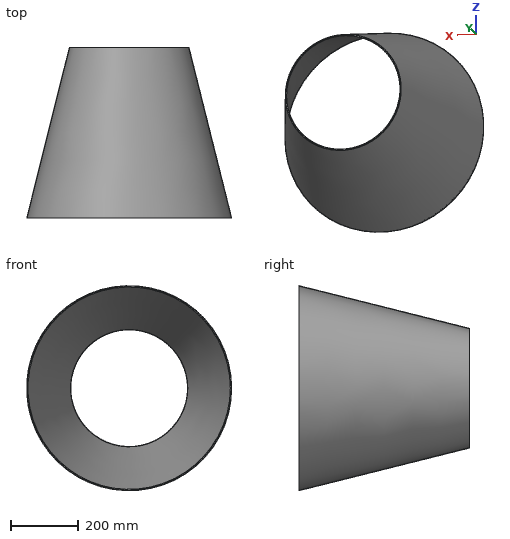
import cadquery as cq

wide_diameter = 609.5
narrow_diameter = 355.5
length = 508.0
wall = 4.0

wide_radius = wide_diameter / 2
narrow_radius = narrow_diameter / 2

wall_section = [
    (wide_radius, 0),
    (narrow_radius, length),
    (narrow_radius - wall, length),
    (wide_radius - wall, 0),
]

result = cq.Workplane("XY").polyline(wall_section).close().revolve(360, (0, 0, 0), (0, 1, 0))